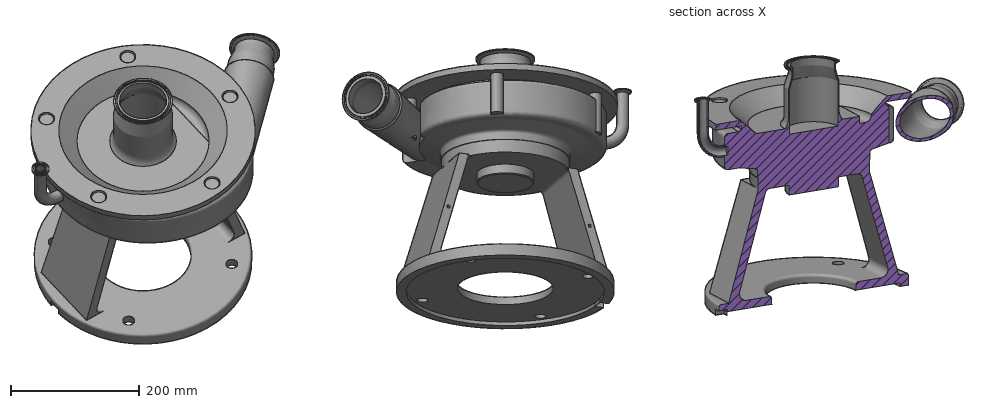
import cadquery as cq
import math

BASE_RADIUS = 170.0
BASE_HEIGHT = 20.0
BASE_EDGE_ROUND = 4.0
BASE_OPENING_RADIUS = 75.0
BASE_OPENING_ROUND = 5.0
BASE_BOLT_CIRCLE_RADIUS = 140.5
BASE_BOLT_HOLE_RADIUS = 9.0
NOTCH_WIDTH = 20.0
NOTCH_HEIGHT = 9.5
NOTCH_DEPTH = 15.0
BASE_RECESS_RADIUS = BASE_RADIUS - NOTCH_DEPTH
BASE_RECESS_HEIGHT = 6.0

HUB_RADIUS = 100.0
HUB_BOTTOM = 196.0
COLLAR_RADIUS = 101.0
COLLAR_BOTTOM = 216.5
COLLAR_FILLET = 5.0
COLLAR_FILLET_BOTTOM = 227.0
BOSS_RADIUS = 44.5
BOSS_BOTTOM = 180.0
BOSS_CHAMFER = 1.5

LEG_TOP = HUB_BOTTOM + 3.0
LEG_THICKNESS = 16.0
LEG_TOP_OUTER_Y = 99.5
LEG_FOOT_OUTER_Y = 152.5
LEG_TOP_WIDTH = 110.0
LEG_FOOT_WIDTH = 121.0
LEG_FOOT_FILLET = 12.0
LEG_TOP_FILLET = 8.0
LEG_HOLE_RADIUS = 2.5
LEG_HOLE_DEPTH = 15.0
LEG_HOLE_HEIGHT = 106.5

CASING_BOTTOM = 237.5
CASING_TOP = 297.5
CASING_ROUND = 6.5
SCROLL_RADII = [143.0, 150.0, 155.0, 157.5, 160.0, 167.0, 174.0, 174.0]
SCROLL_START_ANGLE = 90
SCROLL_STEP_ANGLE = 45
SCROLL_FRONT_RADIUS = SCROLL_RADII[4]
CASING_CONE_RADIUS = 135.0
CASING_CORE_RADIUS = 130.0
CASING_COVER_RISE = 3.0

FLANGE_RADIUS = 175.05
FLANGE_BOTTOM = 305.5
FLANGE_TOP = 315.5
DISH_RIM_RADIUS = 129.5
DISH_RIM_CHAMFER = 2.0
DISH_FLOOR_RADIUS = 103.0
DISH_FLOOR = 289.5
DISH_STEP_Y = 82.0
DISH_STEP_DEPTH = 11.5
DISH_STEP_ROUND = 11.0

POST_COUNT = 5
POST_START_ANGLE = 9.2
POST_CIRCLE_RADIUS = 152.5
POST_RADIUS = 10.0
POST_BOTTOM = CASING_BOTTOM + 3.0
POST_RECESS_RADIUS = 12.5
POST_RECESS_FLOOR_RADIUS = 11.0
POST_RECESS_DEPTH = 2.0

INLET_TOP = 386.5
INLET_RADIUS = 46.0
INLET_NECK_RADIUS = 39.5
INLET_LIP_RADIUS = 46.0
INLET_FLARE_RADIUS = 52.0
INLET_FLARE_HEIGHT = 15.0
INLET_FLARE_ARC = 22.0
INLET_BORE_DEPTH = 107.0

OUTLET_ANGLE = 135.0
OUTLET_OFFSET = 139.5
OUTLET_AXIS_HEIGHT = 268.0
OUTLET_LENGTH = 229.0
OUTLET_LIP_RADIUS = 39.5
OUTLET_NECK_RADIUS = 31.5
OUTLET_RADIUS = 36.5
DIFFUSER_LENGTH = 178.0
DIFFUSER_END_RADIUS = 39.0
DIFFUSER_START_RADIUS = 31.0
DIFFUSER_CHAMFER = 2.5
OUTLET_BORE_START = 60.0

LIP_THICKNESS = 2.0
LIP_TAPER = 2.5
NECK_END = 13.0
CONE_END = 34.0
PIPE_WALL = 3.0
GROOVE_INSET = 3.0
GROOVE_WIDTH = 2.5
GROOVE_DEPTH = 1.0

ELBOW_RADIUS = 9.5
ELBOW_BORE_RADIUS = 6.5
ELBOW_Y = -197.5
ELBOW_AXIS_HEIGHT = 269.0
ELBOW_BEND_RADIUS = 35.0
ELBOW_TOP = 359.0
ELBOW_LIP_RADIUS = 13.5


def cylinder(radius, bottom, top):
    return cq.Workplane("XY").workplane(offset=bottom).circle(radius).extrude(top - bottom)


def revolved(points):
    """Turn a closed (radius, height) outline about the Z axis."""
    return cq.Workplane("XZ").polyline(points).close().revolve(360, (0, 0, 0), (0, 1, 0))


def gasket_groove(lip_radius, face):
    """The ring groove in a ferrule face that lies level at the given height."""
    outer = lip_radius - GROOVE_INSET
    ring = cq.Workplane("XY").workplane(offset=face - GROOVE_DEPTH)
    return ring.circle(outer).circle(outer - GROOVE_WIDTH).extrude(GROOVE_DEPTH)


def make_base():
    base = cylinder(BASE_RADIUS, 0, BASE_HEIGHT)
    base = base.faces(">Z").edges().fillet(BASE_EDGE_ROUND)
    opening = cylinder(BASE_OPENING_RADIUS, 0, BASE_HEIGHT)
    base = base.cut(opening)
    rim = cq.selectors.RadiusNthSelector(0)
    base = base.faces(">Z").edges(rim).fillet(BASE_OPENING_ROUND)
    bolt_holes = (
        cq.Workplane("XY")
        .polarArray(BASE_BOLT_CIRCLE_RADIUS, 45, 360, 4)
        .circle(BASE_BOLT_HOLE_RADIUS)
        .extrude(BASE_HEIGHT)
    )
    notch = cq.Workplane("XY").box(NOTCH_WIDTH, 2 * NOTCH_DEPTH, 2 * NOTCH_HEIGHT)
    recess = cylinder(BASE_RECESS_RADIUS, 0, BASE_RECESS_HEIGHT)
    base = base.cut(recess)
    return base.cut(bolt_holes).cut(notch.translate((0, -BASE_RADIUS, 0)))


def make_hub():
    hub = cylinder(HUB_RADIUS, HUB_BOTTOM, COLLAR_BOTTOM)
    collar = cylinder(COLLAR_RADIUS, COLLAR_BOTTOM, CASING_BOTTOM)
    boss = cylinder(BOSS_RADIUS, BOSS_BOTTOM, HUB_BOTTOM).faces("<Z").chamfer(BOSS_CHAMFER)
    return hub.union(collar).union(boss)


def corner_web(corner_y, corner_z, leg_direction, plate_direction, radius):
    """Outline in YZ of the concave fillet between a leg face and a level face."""
    half_angle = math.acos(leg_direction[0] * plate_direction) / 2
    reach = radius / math.tan(half_angle)
    on_plate = (corner_y + plate_direction * reach, corner_z)
    on_leg = (corner_y + leg_direction[0] * reach, corner_z + leg_direction[1] * reach)
    to_center_z = math.copysign(radius, leg_direction[1])
    center = (on_plate[0], corner_z + to_center_z)
    to_corner = (corner_y - center[0], corner_z - center[1])
    scale = radius / math.hypot(*to_corner)
    middle = (center[0] + to_corner[0] * scale, center[1] + to_corner[1] * scale)
    return (
        cq.Workplane("YZ")
        .moveTo(corner_y, corner_z)
        .lineTo(*on_plate)
        .threePointArc(middle, on_leg)
        .close()
        .extrude(LEG_FOOT_WIDTH / 2, both=True)
    )


def make_leg():
    """The leg on the +Y side."""
    slope = (LEG_FOOT_OUTER_Y - LEG_TOP_OUTER_Y) / (LEG_TOP - BASE_HEIGHT)
    foot_inner_y = LEG_FOOT_OUTER_Y - LEG_THICKNESS
    top_inner_y = LEG_TOP_OUTER_Y - LEG_THICKNESS
    side = (
        cq.Workplane("YZ")
        .polyline([
            (LEG_FOOT_OUTER_Y, BASE_HEIGHT),
            (LEG_TOP_OUTER_Y, LEG_TOP),
            (top_inner_y, LEG_TOP),
            (foot_inner_y, BASE_HEIGHT),
        ])
        .close()
        .extrude(LEG_FOOT_WIDTH / 2, both=True)
    )
    length = math.hypot(slope, 1)
    up_leg = (-slope / length, 1 / length)
    down_leg = (slope / length, -1 / length)
    hub_inner_y = top_inner_y + slope * (LEG_TOP - HUB_BOTTOM)
    side = side.union(corner_web(foot_inner_y, BASE_HEIGHT, up_leg, -1, LEG_FOOT_FILLET))
    side = side.union(corner_web(hub_inner_y, HUB_BOTTOM, down_leg, -1, LEG_TOP_FILLET))

    half_foot = LEG_FOOT_WIDTH / 2
    half_top = LEG_TOP_WIDTH / 2
    taper = (
        cq.Workplane("XZ")
        .polyline([
            (-half_foot, BASE_HEIGHT),
            (half_foot, BASE_HEIGHT),
            (half_top, LEG_TOP),
            (-half_top, LEG_TOP),
        ])
        .close()
        .extrude(-BASE_RADIUS)
    )
    hole_y = LEG_FOOT_OUTER_Y - LEG_THICKNESS / 2 - slope * (LEG_HOLE_HEIGHT - BASE_HEIGHT)
    hole = (
        cq.Workplane("YZ")
        .workplane(offset=-half_foot)
        .center(hole_y, LEG_HOLE_HEIGHT)
        .circle(LEG_HOLE_RADIUS)
        .extrude(LEG_HOLE_DEPTH)
    )
    return side.intersect(taper).cut(hole)


def make_casing():
    scroll = []
    for step, radius in enumerate(SCROLL_RADII):
        angle = math.radians(SCROLL_START_ANGLE + step * SCROLL_STEP_ANGLE)
        scroll.append((radius * math.cos(angle), radius * math.sin(angle)))
    volute = (
        cq.Workplane("XY")
        .workplane(offset=CASING_BOTTOM)
        .spline(scroll)
        .lineTo(0, 0)
        .close()
        .extrude(CASING_TOP - CASING_BOTTOM)
        .faces("<Z or >Z")
        .edges("not %LINE")
        .fillet(CASING_ROUND)
    )
    collar_fillet_top = COLLAR_FILLET_BOTTOM + COLLAR_FILLET
    covers = (
        cq.Workplane("XZ")
        .moveTo(0, COLLAR_FILLET_BOTTOM)
        .lineTo(COLLAR_RADIUS, COLLAR_FILLET_BOTTOM)
        .radiusArc((COLLAR_RADIUS + COLLAR_FILLET, collar_fillet_top), COLLAR_FILLET)
        .lineTo(CASING_CONE_RADIUS, CASING_BOTTOM)
        .lineTo(CASING_CONE_RADIUS, CASING_TOP)
        .lineTo(CASING_CORE_RADIUS, CASING_TOP + CASING_COVER_RISE)
        .lineTo(CASING_CORE_RADIUS, FLANGE_BOTTOM)
        .lineTo(0, FLANGE_BOTTOM)
        .close()
        .revolve(360, (0, 0, 0), (0, 1, 0))
    )
    return volute.union(covers)


def make_flange():
    return cylinder(FLANGE_RADIUS, FLANGE_BOTTOM, FLANGE_TOP)


def make_dish():
    """The space removed above the dished middle, with a lower step at the back."""
    dish = revolved([
        (0, DISH_FLOOR),
        (DISH_FLOOR_RADIUS, DISH_FLOOR),
        (DISH_RIM_RADIUS, FLANGE_TOP - DISH_RIM_CHAMFER),
        (DISH_RIM_RADIUS + DISH_RIM_CHAMFER, FLANGE_TOP),
        (0, FLANGE_TOP),
    ])
    step = cylinder(DISH_FLOOR_RADIUS, DISH_FLOOR - DISH_STEP_DEPTH, DISH_FLOOR)
    step = step.faces("<Z").edges().fillet(DISH_STEP_ROUND)
    behind = (
        cq.Workplane("XY")
        .workplane(offset=DISH_FLOOR - DISH_STEP_DEPTH)
        .center(0, DISH_STEP_Y + DISH_FLOOR_RADIUS / 2)
        .rect(2 * DISH_FLOOR_RADIUS, DISH_FLOOR_RADIUS)
        .extrude(DISH_STEP_DEPTH)
    )
    return dish.union(step.intersect(behind))


def post_places():
    return cq.Workplane("XY").polarArray(POST_CIRCLE_RADIUS, POST_START_ANGLE, 360, POST_COUNT)


def make_posts():
    posts = post_places().circle(POST_RADIUS).extrude(FLANGE_BOTTOM - POST_BOTTOM)
    return posts.translate((0, 0, POST_BOTTOM))


def make_post_recesses():
    recess = revolved([
        (0, FLANGE_TOP - POST_RECESS_DEPTH),
        (POST_RECESS_FLOOR_RADIUS, FLANGE_TOP - POST_RECESS_DEPTH),
        (POST_RECESS_RADIUS, FLANGE_TOP),
        (0, FLANGE_TOP),
    ]).val()
    return post_places().eachpoint(lambda place: recess.moved(place), combine="a")


def inlet_neck():
    flare_top = DISH_FLOOR + INLET_FLARE_HEIGHT
    return (
        cq.Workplane("XZ")
        .moveTo(0, DISH_FLOOR)
        .lineTo(INLET_FLARE_RADIUS, DISH_FLOOR)
        .radiusArc((INLET_RADIUS, flare_top), INLET_FLARE_ARC)
        .lineTo(INLET_RADIUS, INLET_TOP - CONE_END)
        .lineTo(INLET_NECK_RADIUS, INLET_TOP - NECK_END)
        .lineTo(INLET_NECK_RADIUS, INLET_TOP - LIP_THICKNESS - LIP_TAPER)
        .lineTo(INLET_LIP_RADIUS, INLET_TOP - LIP_THICKNESS)
        .lineTo(INLET_LIP_RADIUS, INLET_TOP)
        .lineTo(0, INLET_TOP)
        .close()
        .revolve(360, (0, 0, 0), (0, 1, 0))
    )


def inlet_bore():
    bottom = INLET_TOP - INLET_BORE_DEPTH
    return revolved([
        (0, bottom),
        (INLET_RADIUS - PIPE_WALL, bottom),
        (INLET_RADIUS - PIPE_WALL, INLET_TOP - CONE_END),
        (INLET_NECK_RADIUS - PIPE_WALL, INLET_TOP - NECK_END),
        (INLET_NECK_RADIUS - PIPE_WALL, INLET_TOP),
        (0, INLET_TOP),
    ])


def place_outlet(branch):
    """Lay a branch built along Z into its level, tangential place."""
    side = math.radians(OUTLET_ANGLE - 90)
    foot = (OUTLET_OFFSET * math.cos(side), OUTLET_OFFSET * math.sin(side), OUTLET_AXIS_HEIGHT)
    lying = branch.rotate((0, 0, 0), (0, 1, 0), 90)
    return lying.rotate((0, 0, 0), (0, 0, 1), OUTLET_ANGLE).translate(foot)


def outlet_branch():
    return place_outlet(revolved([
        (0, 0),
        (DIFFUSER_START_RADIUS, 0),
        (DIFFUSER_END_RADIUS, DIFFUSER_LENGTH - DIFFUSER_CHAMFER),
        (OUTLET_RADIUS, DIFFUSER_LENGTH),
        (OUTLET_RADIUS, OUTLET_LENGTH - CONE_END),
        (OUTLET_NECK_RADIUS, OUTLET_LENGTH - NECK_END),
        (OUTLET_NECK_RADIUS, OUTLET_LENGTH - LIP_THICKNESS - LIP_TAPER),
        (OUTLET_LIP_RADIUS, OUTLET_LENGTH - LIP_THICKNESS),
        (OUTLET_LIP_RADIUS, OUTLET_LENGTH),
        (0, OUTLET_LENGTH),
    ]))


def outlet_bore():
    return place_outlet(revolved([
        (0, OUTLET_BORE_START),
        (DIFFUSER_START_RADIUS - PIPE_WALL, OUTLET_BORE_START),
        (OUTLET_RADIUS - PIPE_WALL, DIFFUSER_LENGTH),
        (OUTLET_RADIUS - PIPE_WALL, OUTLET_LENGTH - CONE_END),
        (OUTLET_NECK_RADIUS - PIPE_WALL, OUTLET_LENGTH - NECK_END),
        (OUTLET_NECK_RADIUS - PIPE_WALL, OUTLET_LENGTH),
        (0, OUTLET_LENGTH),
    ]))


def swept_elbow(radius):
    """A round bar from inside the casing wall, through the bend and up to the lip."""
    start_y = -SCROLL_FRONT_RADIUS + CASING_ROUND
    bend_start_y = ELBOW_Y + ELBOW_BEND_RADIUS
    bend_top = ELBOW_AXIS_HEIGHT + ELBOW_BEND_RADIUS
    inset = ELBOW_BEND_RADIUS * (1 - math.sqrt(0.5))
    path = (
        cq.Workplane("YZ")
        .moveTo(start_y, ELBOW_AXIS_HEIGHT)
        .lineTo(bend_start_y, ELBOW_AXIS_HEIGHT)
        .threePointArc((ELBOW_Y + inset, ELBOW_AXIS_HEIGHT + inset), (ELBOW_Y, bend_top))
        .lineTo(ELBOW_Y, ELBOW_TOP)
    )
    start = cq.Workplane("XZ", origin=(0, start_y, ELBOW_AXIS_HEIGHT))
    return start.circle(radius).sweep(path)


def make_elbow():
    lip = revolved([
        (0, ELBOW_TOP - LIP_THICKNESS - LIP_TAPER),
        (ELBOW_RADIUS, ELBOW_TOP - LIP_THICKNESS - LIP_TAPER),
        (ELBOW_LIP_RADIUS, ELBOW_TOP - LIP_THICKNESS),
        (ELBOW_LIP_RADIUS, ELBOW_TOP),
        (0, ELBOW_TOP),
    ])
    return swept_elbow(ELBOW_RADIUS).union(lip.translate((0, ELBOW_Y, 0)))


leg = make_leg()
result = make_base().union(leg).union(leg.mirror("XZ")).union(make_hub())
result = result.union(make_casing()).union(make_posts()).union(make_flange())
result = result.cut(make_dish()).cut(make_post_recesses())
result = result.union(inlet_neck()).union(outlet_branch()).union(make_elbow())
result = result.cut(inlet_bore()).cut(outlet_bore()).cut(swept_elbow(ELBOW_BORE_RADIUS))

inlet_groove = gasket_groove(INLET_LIP_RADIUS, INLET_TOP)
outlet_groove = place_outlet(gasket_groove(OUTLET_LIP_RADIUS, OUTLET_LENGTH))
elbow_groove = gasket_groove(ELBOW_LIP_RADIUS, ELBOW_TOP).translate((0, ELBOW_Y, 0))
result = result.cut(inlet_groove).cut(outlet_groove).cut(elbow_groove)